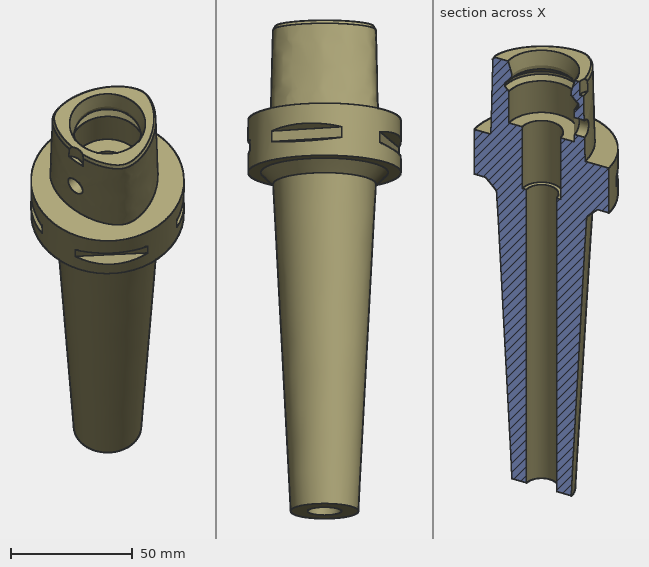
import cadquery as cq
import math


shank_length = 38.0
shank_base_radius = 22.2
shank_taper = 1 / 40
lobe_height = 1.7
lobe_count = 3
lobe_direction = math.pi / 2
outline_points = 72
lead_in_height = 1.5
lead_in_width = 0.8

flange_diameter = 63.0
flange_thickness = 22.0
shoulder_height = 5.0
body_length = 165.0
nose_diameter = 28.0
neck_angle = 3.0

mouth_diameter = 31.2
lip_diameter = 27.5
groove_diameter = 34.4
inner_bore_diameter = 30.4
screw_bore_diameter = 17.8
through_diameter = 14.0
lip_depth = 6.2
lip_land = 1.7
groove_wall_height = 1.3
inner_bore_depth = 30.0
screw_bore_depth = 60.0

keyway_depth = 6.4
keyway_radius = 5.8
keyway_wall_distance = 17.9
side_hole_diameter = 8.0
side_hole_height = 15.6
side_hole_floor_distance = 15.5

slot_count = 4
slot_first_angle = 45.0
slot_center_height = -12.0
slot_floor_distance = 27.7
slot_floor_height = 4.4
slot_mouth_height = 7.5

flange_radius = flange_diameter / 2
nose_radius = nose_diameter / 2
neck_length = body_length - flange_thickness - shoulder_height
neck_radius = nose_radius + neck_length * math.tan(math.radians(neck_angle))
shoulder_radius = neck_radius + shoulder_height


def shank_outline(mean_radius, height):
    """Closed constant-width outline whose support distance is mean_radius + lobe_height * cos(3t)."""
    def point(fraction):
        angle = 2 * math.pi * fraction
        support = mean_radius + lobe_height * math.cos(lobe_count * angle)
        slope = -lobe_count * lobe_height * math.sin(lobe_count * angle)
        direction = angle + lobe_direction
        x = support * math.cos(direction) - slope * math.sin(direction)
        y = support * math.sin(direction) + slope * math.cos(direction)
        return cq.Vector(x, y, height)

    points = [point(0.5 + i / outline_points) for i in range(outline_points)]
    return cq.Wire.assembleEdges([cq.Edge.makeSpline(points, periodic=True)])


def make_shank():
    lead_in_start = shank_length - lead_in_height
    lead_in_radius = shank_base_radius - shank_taper * lead_in_start
    base = shank_outline(shank_base_radius, 0)
    shoulder = shank_outline(lead_in_radius, lead_in_start)
    top = shank_outline(lead_in_radius - lead_in_width, shank_length)
    taper = cq.Solid.makeLoft([base, shoulder], True)
    lead_in = cq.Solid.makeLoft([shoulder, top], True)
    return cq.Workplane(obj=taper).union(cq.Workplane(obj=lead_in))


def make_body():
    """Flange, 45 degree shoulder and conical neck as one turned profile."""
    profile = [
        (0, 0),
        (flange_radius, 0),
        (flange_radius, -flange_thickness),
        (shoulder_radius, -flange_thickness),
        (neck_radius, -flange_thickness - shoulder_height),
        (nose_radius, -body_length),
        (0, -body_length),
    ]
    return cq.Workplane("XZ").polyline(profile).close().revolve(360, (0, 0), (0, 1))


def make_bore():
    """Conical mouth, lip, undercut groove with 45 degree flanks, then three bores in steps."""
    mouth_radius = mouth_diameter / 2
    lip_radius = lip_diameter / 2
    groove_radius = groove_diameter / 2
    inner_radius = inner_bore_diameter / 2
    screw_radius = screw_bore_diameter / 2
    through_radius = through_diameter / 2
    lip_top = shank_length - lip_depth
    lip_bottom = lip_top - lip_land
    groove_wall_top = lip_bottom - (groove_radius - lip_radius)
    groove_wall_bottom = groove_wall_top - groove_wall_height
    inner_bore_top = groove_wall_bottom - (groove_radius - inner_radius)
    inner_bore_bottom = shank_length - inner_bore_depth
    screw_bore_bottom = shank_length - screw_bore_depth
    profile = [
        (0, shank_length),
        (mouth_radius, shank_length),
        (lip_radius, lip_top),
        (lip_radius, lip_bottom),
        (groove_radius, groove_wall_top),
        (groove_radius, groove_wall_bottom),
        (inner_radius, inner_bore_top),
        (inner_radius, inner_bore_bottom),
        (screw_radius, inner_bore_bottom),
        (screw_radius, screw_bore_bottom),
        (through_radius, screw_bore_bottom),
        (through_radius, -body_length),
        (0, -body_length),
    ]
    return cq.Workplane("XZ").polyline(profile).close().revolve(360, (0, 0), (0, 1))


def make_keyway():
    """Upright round-walled notch in the shank rim."""
    return (
        cq.Workplane("XY", origin=(0, 0, shank_length - keyway_depth))
        .center(0, -keyway_wall_distance - keyway_radius)
        .circle(keyway_radius)
        .extrude(keyway_depth)
    )


def make_side_hole():
    return (
        cq.Workplane("XZ", origin=(0, -side_hole_floor_distance, side_hole_height))
        .circle(side_hole_diameter / 2)
        .extrude(flange_radius - side_hole_floor_distance)
    )


def make_gripper_slot(angle):
    """Flat-floored slot that opens outwards, cut straight across the rim at the given angle."""
    floor_half = slot_floor_height / 2
    mouth_half = slot_mouth_height / 2
    profile = [
        (slot_floor_distance, slot_center_height - floor_half),
        (flange_radius, slot_center_height - mouth_half),
        (flange_radius, slot_center_height + mouth_half),
        (slot_floor_distance, slot_center_height + floor_half),
    ]
    slot = cq.Workplane("XZ").polyline(profile).close().extrude(flange_radius, both=True)
    return slot.rotate((0, 0, 0), (0, 0, 1), angle)


result = make_body().union(make_shank())
result = result.cut(make_bore()).cut(make_keyway()).cut(make_side_hole())
for slot_index in range(slot_count):
    result = result.cut(make_gripper_slot(slot_first_angle + slot_index * 360 / slot_count))